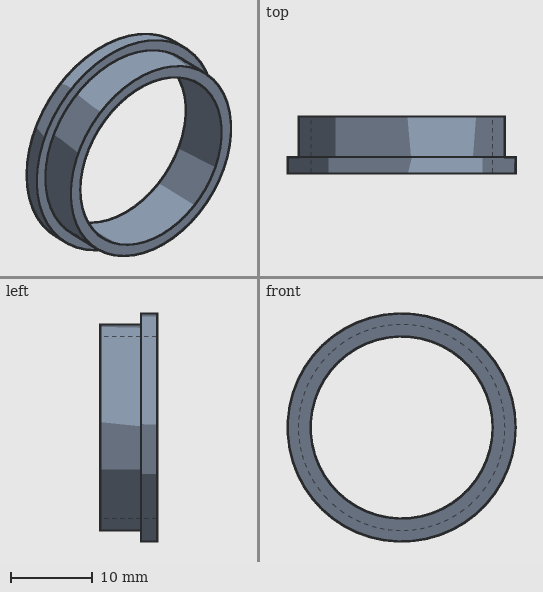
import cadquery as cq

flange_diameter = 28.0
barrel_diameter = 25.3
bore_diameter = 22.3
total_length = 7.0
flange_thickness = 2.0


def cylinder_along_y(diameter, length):
    """Solid cylinder from the flange face at Y = 0 toward +Y."""
    return cq.Workplane("XZ").circle(diameter / 2).extrude(-length)


flange = cylinder_along_y(flange_diameter, flange_thickness)
barrel = cylinder_along_y(barrel_diameter, total_length)
bore = cylinder_along_y(bore_diameter, total_length)

result = flange.union(barrel).cut(bore)